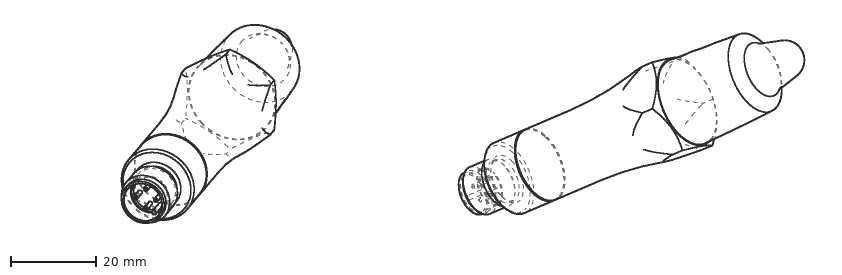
import cadquery as cq
import math

LENGTH = 100.1

HEX_FLATS = 22.0
HEX_CORNER_RADIUS = HEX_FLATS / math.sqrt(3)
HEX_END_Y = 65.6
HEX_END_RADIUS = 10.8
HEX_CHAMFER_LENGTH = 1.4
FLARE_ARC_RADIUS = 97.1

HANDLE_RADIUS = 9.0
HANDLE_START_Y = 10.4
HANDLE_END_Y = 34.5
HANDLE_CHAMFER = 0.6
JOINT_Y = 20.4
JOINT_WIDTH = 0.3
JOINT_DEPTH = 0.1

SLEEVE_END_Y = 86.4
SLEEVE_BASE_RADIUS = 10.6
SLEEVE_END_RADIUS = 9.8
SLEEVE_BULGE = 0.1
SHOULDER_Y = 88.7
SHOULDER_RADIUS = 6.7
NECK_Y = 91.8
NECK_RADIUS = 5.6
NECK_MID_Y = 90.1
NECK_MID_RADIUS = 5.9
TIP_BASE_Y = 96.3
TIP_BASE_RADIUS = 4.6

PLUG_RADIUS = 6.0
PLUG_START_Y = 2.0
PLUG_END_Y = 7.7
PLUG_NOSE_RADIUS = 5.3
PLUG_NOSE_LENGTH = 1.3
NECK_GROOVE_RADIUS = 5.2
NECK_GROOVE_START_Y = 8.4
NECK_GROOVE_END_Y = 9.7
NECK_FLANGE_RADIUS = 5.9

SOCKET_RADIUS = 4.7
SOCKET_FLOOR_RADIUS = 4.1
SOCKET_LEDGE_Y = 5.0
SOCKET_LEDGE_RADIUS = 4.4
SOCKET_DEPTH = 5.5
MOUTH_RADIUS = 4.8
MOUTH_CHAMFER = MOUTH_RADIUS - SOCKET_RADIUS
PIN_RADIUS = 0.5
PIN_CIRCLE_RADIUS = 2.5
PIN_COUNT = 4
PIN_TIP_Y = 1.8
PIN_TIP_CHAMFER = 0.3
KEY_RADIUS = 0.55
KEY_CIRCLE_RADIUS = 3.6
KEY_ANGLE = -45.0
KEY_START_Y = 0.7
ROOT_OVERLAP = 0.5


def flare_radius(y):
    """Radius of the concave flare, tangent to the handle at HANDLE_END_Y."""
    run = y - HANDLE_END_Y
    return HANDLE_RADIUS + FLARE_ARC_RADIUS - math.sqrt(FLARE_ARC_RADIUS**2 - run**2)


def revolve_about_y(outline):
    return outline.close().revolve(360, (0, 0, 0), (0, 1, 0))


def rod(radius, x, z, start_y, end_y):
    """Round rod running along Y."""
    return (
        cq.Workplane("XZ", origin=(x, start_y, z))
        .circle(radius)
        .extrude(start_y - end_y)
    )


def connector():
    outline = (
        cq.Workplane("XY")
        .moveTo(0, 0)
        .lineTo(PLUG_NOSE_RADIUS, 0)
        .lineTo(PLUG_NOSE_RADIUS, PLUG_NOSE_LENGTH)
        .lineTo(PLUG_RADIUS, PLUG_START_Y)
        .lineTo(PLUG_RADIUS, PLUG_END_Y)
        .lineTo(NECK_GROOVE_RADIUS, NECK_GROOVE_START_Y)
        .lineTo(NECK_GROOVE_RADIUS, NECK_GROOVE_END_Y)
        .lineTo(NECK_FLANGE_RADIUS, HANDLE_START_Y)
        .lineTo(0, HANDLE_START_Y)
    )
    return revolve_about_y(outline)


def handle():
    outline = (
        cq.Workplane("XY")
        .moveTo(0, HANDLE_START_Y)
        .lineTo(HANDLE_RADIUS - HANDLE_CHAMFER, HANDLE_START_Y)
        .lineTo(HANDLE_RADIUS, HANDLE_START_Y + HANDLE_CHAMFER)
        .lineTo(HANDLE_RADIUS, JOINT_Y - JOINT_WIDTH / 2)
        .lineTo(HANDLE_RADIUS - JOINT_DEPTH, JOINT_Y - JOINT_WIDTH / 2)
        .lineTo(HANDLE_RADIUS - JOINT_DEPTH, JOINT_Y + JOINT_WIDTH / 2)
        .lineTo(HANDLE_RADIUS, JOINT_Y + JOINT_WIDTH / 2)
        .lineTo(HANDLE_RADIUS, HANDLE_END_Y)
        .lineTo(0, HANDLE_END_Y)
    )
    return revolve_about_y(outline)


def hex_grip():
    """Flared round body trimmed by a hexagonal prism with corners on the Z axis."""
    middle_y = (HANDLE_END_Y + HEX_END_Y) / 2
    chamfer_slope = (HEX_CORNER_RADIUS - HEX_END_RADIUS) / HEX_CHAMFER_LENGTH
    flare_end_y = HEX_END_Y - 2 * HEX_CHAMFER_LENGTH
    outline = (
        cq.Workplane("XY")
        .moveTo(0, HANDLE_END_Y)
        .lineTo(HANDLE_RADIUS, HANDLE_END_Y)
        .threePointArc(
            (flare_radius(middle_y), middle_y),
            (flare_radius(flare_end_y), flare_end_y),
        )
        .lineTo(HEX_END_RADIUS + 2 * HEX_CHAMFER_LENGTH * chamfer_slope, flare_end_y)
        .lineTo(HEX_END_RADIUS, HEX_END_Y)
        .lineTo(0, HEX_END_Y)
    )
    prism = (
        cq.Workplane("XZ", origin=(0, HANDLE_END_Y, 0))
        .transformed(rotate=(0, 0, 90))
        .polygon(6, 2 * HEX_CORNER_RADIUS)
        .extrude(HANDLE_END_Y - HEX_END_Y)
    )
    return revolve_about_y(outline).intersect(prism)


def sleeve_and_tip():
    tip_height = LENGTH - TIP_BASE_Y
    sphere_radius = (TIP_BASE_RADIUS**2 + tip_height**2) / (2 * tip_height)
    half_angle = math.asin(TIP_BASE_RADIUS / sphere_radius) / 2
    tip_middle = (
        sphere_radius * math.sin(half_angle),
        LENGTH - sphere_radius * (1 - math.cos(half_angle)),
    )
    sleeve_middle = (
        (SLEEVE_BASE_RADIUS + SLEEVE_END_RADIUS) / 2 + SLEEVE_BULGE,
        (HEX_END_Y + SLEEVE_END_Y) / 2,
    )
    outline = (
        cq.Workplane("XY")
        .moveTo(0, HEX_END_Y)
        .lineTo(SLEEVE_BASE_RADIUS, HEX_END_Y)
        .threePointArc(sleeve_middle, (SLEEVE_END_RADIUS, SLEEVE_END_Y))
        .lineTo(SHOULDER_RADIUS, SHOULDER_Y)
        .threePointArc((NECK_MID_RADIUS, NECK_MID_Y), (NECK_RADIUS, NECK_Y))
        .lineTo(TIP_BASE_RADIUS, TIP_BASE_Y)
        .threePointArc(tip_middle, (0, LENGTH))
    )
    return revolve_about_y(outline)


def socket():
    """Bore with a chamfered mouth and a bevelled ledge around its floor."""
    outline = (
        cq.Workplane("XY")
        .moveTo(0, 0)
        .lineTo(MOUTH_RADIUS, 0)
        .lineTo(SOCKET_RADIUS, MOUTH_CHAMFER)
        .lineTo(SOCKET_RADIUS, SOCKET_LEDGE_Y)
        .lineTo(SOCKET_LEDGE_RADIUS, SOCKET_LEDGE_Y)
        .lineTo(SOCKET_FLOOR_RADIUS, SOCKET_DEPTH)
        .lineTo(0, SOCKET_DEPTH)
    )
    return revolve_about_y(outline)


def contacts():
    """Coding key standing on the socket floor and evenly spaced contact pins."""
    root_y = SOCKET_DEPTH + ROOT_OVERLAP
    key_angle = math.radians(KEY_ANGLE)
    rods = rod(
        KEY_RADIUS,
        KEY_CIRCLE_RADIUS * math.cos(key_angle),
        KEY_CIRCLE_RADIUS * math.sin(key_angle),
        KEY_START_Y,
        root_y,
    )
    for index in range(PIN_COUNT):
        angle = 2 * math.pi * index / PIN_COUNT
        x = PIN_CIRCLE_RADIUS * math.cos(angle)
        z = PIN_CIRCLE_RADIUS * math.sin(angle)
        pin = rod(PIN_RADIUS, x, z, PIN_TIP_Y, root_y).faces("<Y").chamfer(PIN_TIP_CHAMFER)
        rods = rods.union(pin)
    return rods


body = connector().union(handle()).union(hex_grip()).union(sleeve_and_tip())
result = body.cut(socket()).union(contacts())